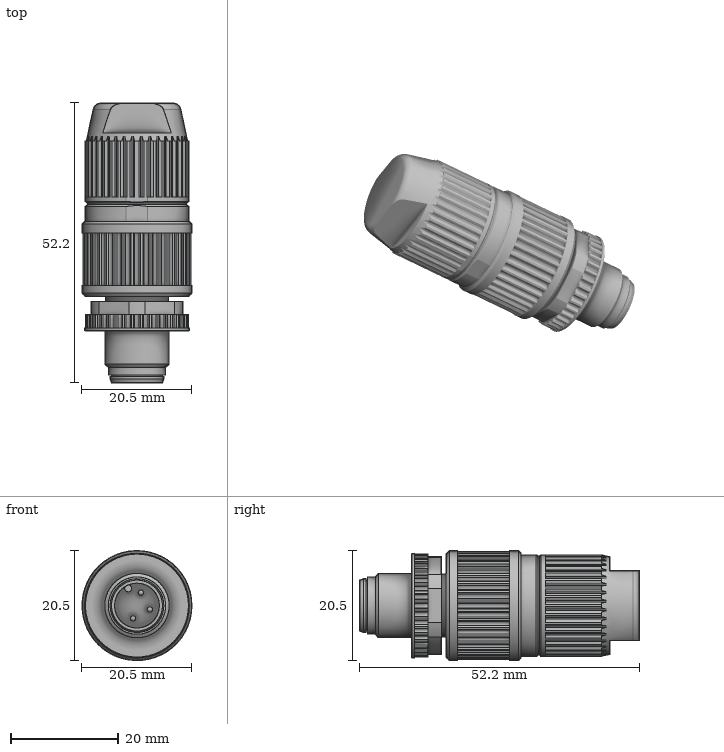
import cadquery as cq
import math


length = 52.2
sleeve_dia = 20.5
rim_dia = 19.5
body_dia = 19.35

lip_dia = 9.5
tip_dia = 10.0
shoulder_dia = 10.7
barrel_dia = 12.0
neck_dia = 11.8
lip_end_y = 0.75
tip_groove_start_y = 1.2
tip_groove_end_y = 1.45
shoulder_end_y = 2.9
barrel_start_y = 3.5

bore_dia = 8.35
bore_depth = 8.35
pin_dia = 1.0
pin_circle_dia = 5.0
pin_tip_y = 1.65
pin_angles = (73, -17, -107)
key_dia = 1.3
key_centre_radius = 3.6
key_angle = 117
key_tip_y = 0.65

rim_start_y = 9.65
rim_chamfer = 0.15
nut_knurl_start_y = 10.25
nut_knurl_dia = 19.2
hex_start_y = 12.75
hex_end_y = 15.25
hex_across_flats = 17.1
hex_corner_dia = 18.25

sleeve_start_y = 16.15
sleeve_end_y = 30.1
sleeve_front_chamfer = 0.65
sleeve_rear_chamfer = 0.45
sleeve_knurl_start_y = 18.2
sleeve_knurl_end_y = 28.0
sleeve_knurl_dia = 20.25

body_groove_start_y = 32.95
body_groove_end_y = 33.9
body_groove_dia = 18.5
body_groove_floor = 0.3
body_flat_height = 18.95
rear_knurl_start_y = 34.65
rear_knurl_end_y = 45.15
cone_start_dia = 18.9
cone_end_dia = 15.85
cone_end_fillet = 1.45
wrench_flat_width = 13.05
wrench_flat_start_y = 46.65

groove_count = 36
crest_width = 0.35
cutter_overrun = 0.5
round_groove_depth = 0.7
round_groove_wall = 0.3
round_groove_floor = 0.85
vee_groove_floor = 0.3
vee_groove_root_dia = 18.55


def cylinder_y(diameter, start_y, end_y):
    """Solid cylinder on the Y axis between two stations."""
    disc = cq.Workplane("XZ", origin=(0, start_y, 0)).circle(diameter / 2)
    return disc.extrude(start_y - end_y)


def polar_xz(radius, angle):
    """Point on a circle about the Y axis; the angle runs from +X towards +Z."""
    a = math.radians(angle)
    return radius * math.cos(a), radius * math.sin(a)


def turned_body():
    """Revolved outline of the whole plug, before knurls and flats."""
    groove_wall = (body_groove_end_y - body_groove_start_y - body_groove_floor) / 2
    steps = [
        (lip_dia, 0),
        (tip_dia, lip_end_y),
        (tip_dia, tip_groove_start_y),
        (lip_dia, tip_groove_start_y),
        (lip_dia, tip_groove_end_y),
        (shoulder_dia, tip_groove_end_y),
        (shoulder_dia, shoulder_end_y),
        (barrel_dia, barrel_start_y),
        (barrel_dia, rim_start_y),
        (rim_dia - 2 * rim_chamfer, rim_start_y),
        (rim_dia, rim_start_y + rim_chamfer),
        (rim_dia, nut_knurl_start_y),
        (nut_knurl_dia, nut_knurl_start_y),
        (nut_knurl_dia, hex_start_y),
        (neck_dia, hex_start_y),
        (neck_dia, sleeve_start_y),
        (sleeve_dia - 2 * sleeve_front_chamfer, sleeve_start_y),
        (sleeve_dia, sleeve_start_y + sleeve_front_chamfer),
        (sleeve_dia, sleeve_knurl_start_y),
        (sleeve_knurl_dia, sleeve_knurl_start_y),
        (sleeve_knurl_dia, sleeve_knurl_end_y),
        (sleeve_dia, sleeve_knurl_end_y),
        (sleeve_dia, sleeve_end_y - sleeve_rear_chamfer),
        (sleeve_dia - 2 * sleeve_rear_chamfer, sleeve_end_y),
        (body_dia, sleeve_end_y),
        (body_dia, body_groove_start_y),
        (body_groove_dia, body_groove_start_y + groove_wall),
        (body_groove_dia, body_groove_end_y - groove_wall),
        (body_dia, body_groove_end_y),
        (body_dia, rear_knurl_end_y),
        (cone_start_dia, rear_knurl_end_y),
        (cone_end_dia, length),
    ]
    outline = [(0, 0)] + [(dia / 2, y) for dia, y in steps] + [(0, length)]
    body = cq.Workplane("XY").polyline(outline).close().revolve(360, (0, 0, 0), (0, 1, 0))
    return body.faces(">Y").edges().fillet(cone_end_fillet)


def hexagon():
    """Spanner hexagon with flats facing +X and -X and corners turned round."""
    across_corners = hex_across_flats / math.cos(math.pi / 6)
    prism = (
        cq.Workplane("XZ", origin=(0, hex_start_y, 0))
        .transformed(rotate=(0, 0, 30))
        .polygon(6, across_corners)
        .extrude(hex_start_y - hex_end_y)
    )
    return prism.intersect(cylinder_y(hex_corner_dia, hex_start_y, hex_end_y))


def groove_ring(groove, first_angle):
    """Copies of one groove cutter, spaced evenly about the Y axis."""
    pitch = 360 / groove_count
    cutters = [
        groove.rotate((0, 0, 0), (0, 1, 0), first_angle + i * pitch).val()
        for i in range(groove_count)
    ]
    return cq.Workplane("XY").newObject([cq.Compound.makeCompound(cutters)])


def groove_opening(crest_dia):
    """Width of a groove where it breaks the crest circle."""
    return math.pi * crest_dia / groove_count - crest_width


def round_grooves(crest_dia, start_y, end_y):
    """Knurl grooves with sloping walls and a round floor, one centred on +Z."""
    top = crest_dia / 2
    half_opening = groove_opening(crest_dia) / 2
    half_floor = round_groove_floor / 2
    outside = top + cutter_overrun
    groove = (
        cq.Workplane("XZ", origin=(0, start_y, 0))
        .moveTo(-half_opening, outside)
        .lineTo(-half_opening, top)
        .lineTo(-half_floor, top - round_groove_wall)
        .threePointArc((0, top - round_groove_depth), (half_floor, top - round_groove_wall))
        .lineTo(half_opening, top)
        .lineTo(half_opening, outside)
        .close()
        .extrude(start_y - end_y)
    )
    return groove_ring(groove, 0)


def vee_grooves():
    """Straight-walled knurl grooves of the rear body, with a crest centred on +Z."""
    top = body_dia / 2
    root = vee_groove_root_dia / 2
    half_opening = groove_opening(body_dia) / 2
    half_floor = vee_groove_floor / 2
    outside = top + cutter_overrun
    points = [
        (-half_opening, outside),
        (-half_opening, top),
        (-half_floor, root),
        (half_floor, root),
        (half_opening, top),
        (half_opening, outside),
    ]
    groove = (
        cq.Workplane("XZ", origin=(0, rear_knurl_start_y, 0))
        .polyline(points)
        .close()
        .extrude(rear_knurl_start_y - length)
    )
    return groove_ring(groove, 180 / groove_count)


def outside_flats(height, start_y, end_y):
    """Cutter that leaves two flats facing +Z and -Z, the given height apart."""
    run = end_y - start_y
    middle = (0, (start_y + end_y) / 2, 0)
    block = cq.Workplane("XY", origin=middle).box(sleeve_dia, run, sleeve_dia)
    core = cq.Workplane("XY", origin=middle).box(sleeve_dia, run, height)
    return block.cut(core)


def contact_pin(angle):
    """Round pin standing on the bore floor, with a hemispherical tip."""
    x, z = polar_xz(pin_circle_dia / 2, angle)
    pin_radius = pin_dia / 2
    dome_y = pin_tip_y + pin_radius
    shank = cylinder_y(pin_dia, dome_y, bore_depth + pin_radius)
    dome = cq.Workplane("XY").sphere(pin_radius).rotate((0, 0, 0), (1, 0, 0), 90)
    pin = shank.union(dome.translate((0, dome_y, 0)))
    return pin.translate((x, 0, z))


def key_rib():
    """Round coding rib along the bore wall."""
    x, z = polar_xz(key_centre_radius, key_angle)
    return cylinder_y(key_dia, key_tip_y, bore_depth + key_dia).translate((x, 0, z))


result = turned_body().union(hexagon())

result = result.cut(round_grooves(nut_knurl_dia, nut_knurl_start_y, hex_start_y))
result = result.cut(round_grooves(sleeve_knurl_dia, sleeve_knurl_start_y, sleeve_knurl_end_y))
result = result.cut(vee_grooves())
result = result.cut(outside_flats(body_flat_height, sleeve_end_y, rear_knurl_end_y))
result = result.cut(outside_flats(wrench_flat_width, wrench_flat_start_y, length))

result = result.cut(cylinder_y(bore_dia, 0, bore_depth))
result = result.union(key_rib())
for pin_angle in pin_angles:
    result = result.union(contact_pin(pin_angle))